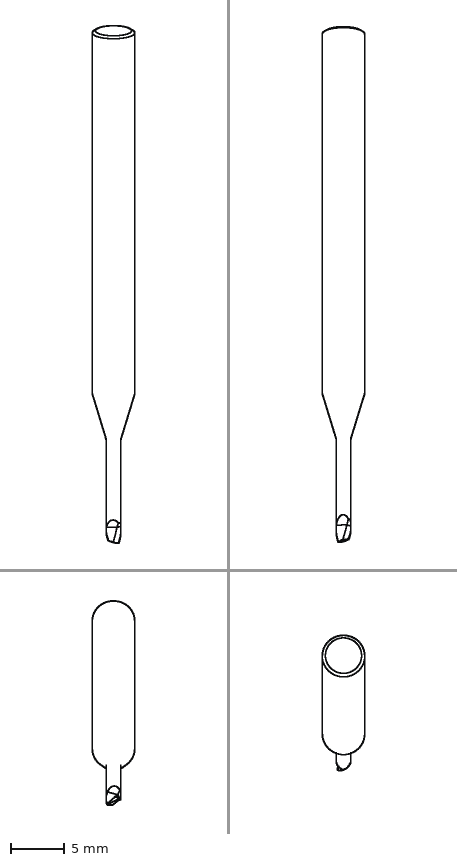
import cadquery as cq
import math

TOTAL_LENGTH = 50.0
SHANK_RADIUS = 2.0
SHANK_BOTTOM = 14.5
CHAMFER_WIDTH = 0.3
CHAMFER_HEIGHT = 0.2
CONE_BOTTOM = 10.05
NECK_RADIUS = 0.7

HEAD_LENGTH = 1.5
CORNER_RADIUS = 0.15
HELIX_TWIST = 60.0
END_RELIEF_ANGLE = 12.0

FLUTE_ROOT = (0.4, 0.05)
RAKE_END_X = 0.45
FLOOR_END = (-0.35, -0.65)
FLUTE_REACH = 2.5

RUNOUT_DRIFT = (0.65, -0.2)
RUNOUT_HEIGHT = 1.1


def flute_outline(z, drift=(0.0, 0.0)):
    """One flute, open to +X, as a polygon at height z."""
    points = [
        FLUTE_ROOT,
        (RAKE_END_X, FLUTE_REACH),
        (FLUTE_REACH, FLUTE_REACH),
        (FLUTE_REACH, -FLUTE_REACH),
        (FLOOR_END[0], -FLUTE_REACH),
        FLOOR_END,
    ]
    drifted = [(x + drift[0], y + drift[1]) for x, y in points]
    return cq.Workplane("XY").workplane(offset=z).polyline(drifted).close()


def both_sides(cutter):
    """The cutting shape and its copy half a turn round the tool axis."""
    return [cutter.rotate((0, 0, 0), (0, 0, 1), turn) for turn in (0, 180)]


def make_holder():
    top_radius = SHANK_RADIUS - CHAMFER_WIDTH
    holder = (
        cq.Workplane("XZ")
        .moveTo(0, HEAD_LENGTH)
        .lineTo(NECK_RADIUS, HEAD_LENGTH)
        .lineTo(NECK_RADIUS, CONE_BOTTOM)
        .lineTo(SHANK_RADIUS, SHANK_BOTTOM)
        .lineTo(SHANK_RADIUS, TOTAL_LENGTH - CHAMFER_HEIGHT)
        .lineTo(top_radius, TOTAL_LENGTH)
        .lineTo(0, TOTAL_LENGTH)
        .close()
        .revolve(360, (0, 0, 0), (0, 1, 0))
    )
    bottom = flute_outline(HEAD_LENGTH).wire().val()
    top = flute_outline(HEAD_LENGTH + RUNOUT_HEIGHT, RUNOUT_DRIFT).wire().val()
    runout = cq.Workplane(cq.Solid.makeLoft([bottom, top], True))
    for cutter in both_sides(runout):
        holder = holder.cut(cutter)
    return holder


def make_head():
    head = (
        cq.Workplane("XZ")
        .lineTo(NECK_RADIUS - CORNER_RADIUS, 0)
        .radiusArc((NECK_RADIUS, CORNER_RADIUS), -CORNER_RADIUS)
        .lineTo(NECK_RADIUS, HEAD_LENGTH)
        .lineTo(0, HEAD_LENGTH)
        .close()
        .revolve(360, (0, 0, 0), (0, 1, 0))
    )
    flute = flute_outline(0).twistExtrude(HEAD_LENGTH, HELIX_TWIST)
    flute = flute.rotate((0, 0, 0), (0, 0, 1), -HELIX_TWIST)
    for cutter in both_sides(flute):
        head = head.cut(cutter)
    rise = FLUTE_REACH * math.tan(math.radians(END_RELIEF_ANGLE))
    relief = (
        cq.Workplane("YZ")
        .polyline([(0, 0), (-FLUTE_REACH, rise), (-FLUTE_REACH, 0)])
        .close()
        .extrude(FLUTE_REACH, both=True)
    )
    for cutter in both_sides(relief):
        head = head.cut(cutter)
    return head


holder = make_holder()
head = make_head()

result = cq.Compound.makeCompound([holder.solids().val(), head.solids().val()])